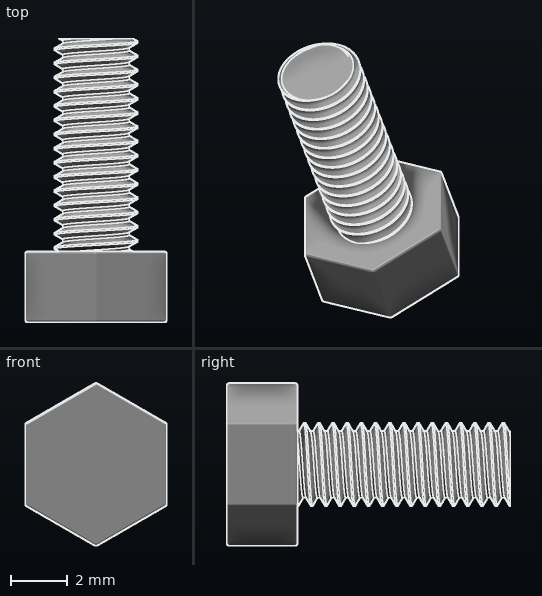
import cadquery as cq
import math

ACROSS_FLATS = 5.0
HEAD_HEIGHT = 2.5
HEAD_EDGE_RADIUS = 0.1

SHANK_LENGTH = 7.5
MAJOR_RADIUS = 2.93 / 2
MINOR_RADIUS = 2.36 / 2
PITCH = 0.5
CREST_WIDTH = PITCH / 8
FLANK_ANGLE = 30.0
RIDGE_OVERLAP = 0.03

HEAD_FACE_Y = -(HEAD_HEIGHT + SHANK_LENGTH) / 2
AXIS_TURN = -90.0


def make_head():
    """Hexagonal head with every edge rounded, two flats facing +X and -X."""
    across_corners = ACROSS_FLATS / math.cos(math.radians(30))
    return (
        cq.Workplane("XY")
        .polygon(6, across_corners)
        .extrude(HEAD_HEIGHT)
        .rotate((0, 0, 0), (0, 0, 1), 30)
        .edges()
        .fillet(HEAD_EDGE_RADIUS)
    )


def make_thread_ridge():
    """Right-handed ridge along the shank, trimmed flush with both shank ends."""
    start = HEAD_HEIGHT - PITCH - PITCH / 4
    helix = cq.Wire.makeHelix(PITCH, SHANK_LENGTH + 3 * PITCH, MINOR_RADIUS)
    path = cq.Workplane(helix.translate(cq.Vector(0, 0, start)))

    base_radius = MINOR_RADIUS - RIDGE_OVERLAP
    half_crest = CREST_WIDTH / 2
    flank_run = (MAJOR_RADIUS - base_radius) * math.tan(math.radians(FLANK_ANGLE))
    half_base = half_crest + flank_run
    ridge = (
        cq.Workplane("XZ")
        .polyline([
            (base_radius, start - half_base),
            (MAJOR_RADIUS, start - half_crest),
            (MAJOR_RADIUS, start + half_crest),
            (base_radius, start + half_base),
        ])
        .close()
        .sweep(path, isFrenet=True)
    )
    shank_envelope = (
        cq.Workplane("XY", origin=(0, 0, HEAD_HEIGHT))
        .circle(2 * MAJOR_RADIUS)
        .extrude(SHANK_LENGTH)
    )
    return ridge.intersect(shank_envelope)


def make_core():
    """Plain cylinder at the thread root."""
    return (
        cq.Workplane("XY", origin=(0, 0, HEAD_HEIGHT))
        .circle(MINOR_RADIUS)
        .extrude(SHANK_LENGTH)
    )


bolt = make_core().union(make_thread_ridge()).union(make_head())
result = bolt.rotate((0, 0, 0), (1, 0, 0), AXIS_TURN).translate((0, HEAD_FACE_Y, 0))